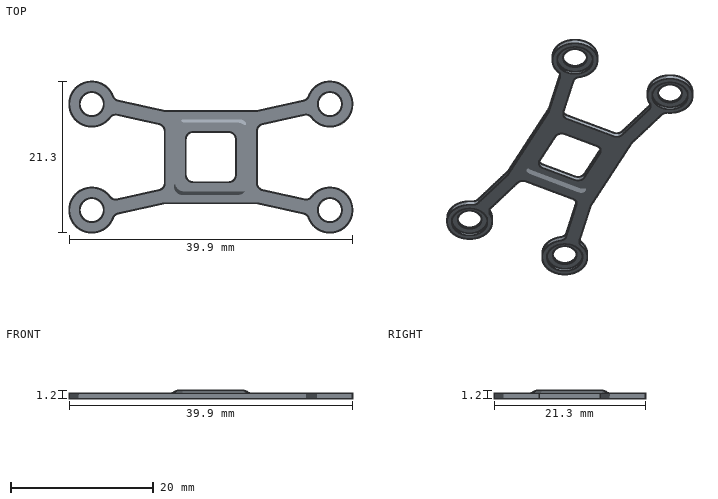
import cadquery as cq
import math

sheet_thickness = 0.8
plate_size = 13.0

ring_x = 16.73
ring_y = 7.45
ring_radius = 3.2
ring_hole_diameter = 3.35
ring_recess_diameter = 5.0
ring_lip_thickness = 0.3
arm_width = 2.0
arm_angle = 12.5
ring_neck_fillet = 1.0
plate_arm_fillet = 1.0
plate_corner_fillet = 1.6

pad_size = 8.95
pad_corner_radius = 0.6
pad_rise = 0.4
top_bend_radius = 1.0
foot_bend_radius = 0.8
window_size = 7.0
window_corner_radius = 1.0

bend_angle = math.acos(1 - pad_rise / (top_bend_radius + foot_bend_radius))
bend_run = (top_bend_radius + foot_bend_radius) * math.sin(bend_angle)
foot_size = pad_size + 2 * bend_run
foot_corner_radius = pad_corner_radius + bend_run
pad_bottom = pad_rise
pad_top = pad_rise + sheet_thickness


def rounded_block(size, corner_radius, bottom, height):
    """Square block centred on Z with rounded vertical edges."""
    block = cq.Workplane("XY").workplane(offset=bottom).rect(size, size).extrude(height)
    return block.edges("|Z").fillet(corner_radius)


def edge_near(x, y):
    """Selector for the vertical edge closest to (x, y)."""
    return cq.selectors.NearestToPointSelector((x, y, sheet_thickness / 2))


def make_quarter():
    """Plate quarter in +X +Y with its arm and ring, blended together."""
    slope = math.radians(arm_angle)
    along = (math.cos(slope), math.sin(slope))
    across = (-along[1], along[0])
    half_plate = plate_size / 2

    inner_root = (half_plate, half_plate - arm_width / math.cos(slope))

    to_ring = (ring_x - half_plate, ring_y - half_plate)
    ring_along = to_ring[0] * along[0] + to_ring[1] * along[1]
    ring_across = to_ring[0] * across[0] + to_ring[1] * across[1]

    def arm_point(distance, offset):
        return (
            half_plate + distance * along[0] + offset * across[0],
            half_plate + distance * along[1] + offset * across[1],
        )

    def neck_point(offset):
        """Where an arm edge meets the near side of the ring."""
        reach = math.sqrt(ring_radius**2 - (offset - ring_across) ** 2)
        return arm_point(ring_along - reach, offset)

    outer_neck = neck_point(0)
    inner_neck = neck_point(-arm_width)
    quarter = (
        cq.Workplane("XY")
        .moveTo(0, 0)
        .lineTo(half_plate, 0)
        .lineTo(*inner_root)
        .lineTo(*inner_neck)
        .threePointArc((ring_x + ring_radius, ring_y), outer_neck)
        .lineTo(half_plate, half_plate)
        .lineTo(0, half_plate)
        .close()
        .extrude(sheet_thickness)
    )
    quarter = quarter.edges("|Z").edges(edge_near(*inner_root)).fillet(plate_arm_fillet)
    quarter = quarter.edges("|Z").edges(edge_near(half_plate, half_plate)).fillet(plate_corner_fillet)
    for neck in (inner_neck, outer_neck):
        quarter = quarter.edges("|Z").edges(edge_near(*neck)).fillet(ring_neck_fillet)
    ring_centre = cq.Workplane("XY").center(ring_x, ring_y)
    hole = ring_centre.circle(ring_hole_diameter / 2).extrude(sheet_thickness)
    recess = ring_centre.circle(ring_recess_diameter / 2).extrude(sheet_thickness - ring_lip_thickness)
    return quarter.cut(hole).cut(recess)


def make_flat_sheet():
    """Plate, arms and rings, before the pad is pressed."""
    quarter = make_quarter()
    half = quarter.union(quarter.mirror("YZ"))
    return half.union(half.mirror("XZ"))


def make_pad_rise():
    """S-shaped wall of constant thickness running around the pad."""
    foot_x = foot_size / 2
    rim_x = pad_size / 2
    foot_centre_z = sheet_thickness + foot_bend_radius
    rim_centre_z = pad_top - top_bend_radius

    def foot_point(radius, angle):
        return (foot_x - radius * math.sin(angle), foot_centre_z - radius * math.cos(angle))

    def rim_point(radius, angle):
        return (rim_x + radius * math.sin(angle), rim_centre_z + radius * math.cos(angle))

    foot_lower_radius = foot_bend_radius + sheet_thickness
    rim_lower_radius = top_bend_radius - sheet_thickness
    half_bend = bend_angle / 2
    profile = (
        cq.Workplane("XZ")
        .moveTo(foot_x, 0)
        .lineTo(foot_x, sheet_thickness)
        .threePointArc(foot_point(foot_bend_radius, half_bend), foot_point(foot_bend_radius, bend_angle))
        .threePointArc(rim_point(top_bend_radius, half_bend), (rim_x, pad_top))
        .lineTo(rim_x, pad_bottom)
        .threePointArc(rim_point(rim_lower_radius, half_bend), rim_point(rim_lower_radius, bend_angle))
        .threePointArc(foot_point(foot_lower_radius, half_bend), (foot_x, 0))
        .close()
    )

    corner = rim_x - pad_corner_radius
    straight = profile.extrude(corner, both=True)
    turn = (
        profile.translate((-corner, 0, 0))
        .toPending()
        .revolve(90, (0, 0, 0), (0, 1, 0))
        .translate((corner, corner, 0))
    )
    side = straight.union(turn)
    rise = side
    for turns in range(1, 4):
        rise = rise.union(side.rotate((0, 0, 0), (0, 0, 1), 90 * turns))
    return rise


foot_opening = rounded_block(foot_size, foot_corner_radius, 0, sheet_thickness)
pad = rounded_block(pad_size, pad_corner_radius, pad_bottom, sheet_thickness)
window = rounded_block(window_size, window_corner_radius, pad_bottom, sheet_thickness)

result = make_flat_sheet().cut(foot_opening).union(make_pad_rise()).union(pad.cut(window))